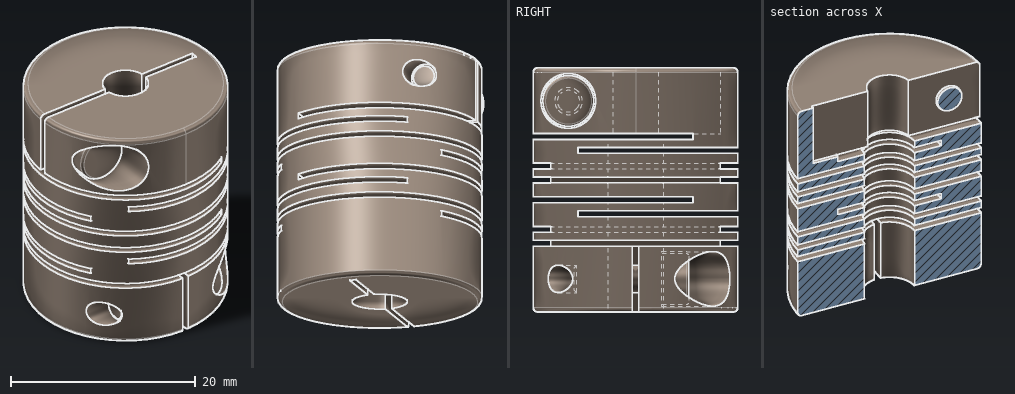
import cadquery as cq

height = 26.5
outer_radius = 11.1
edge_round = 0.5
upper_bore_radius = 2.5
lower_bore_radius = 3.0

clearance = 0.26

cut_width = 0.6
bridge_distance = 6.23
cut_pitch = 1.5
pair_pitch = 3.2
module_pitch = 6.86
cut_span = module_pitch + pair_pitch + cut_pitch
top_cut_z = (height + cut_span) / 2
hub_length = height - top_cut_z - cut_width / 2

slit_width = 0.75
slit_end = 9.2

screw_offset = 7.3
screw_height = 3.6
screw_radius = 1.48
tip_chamfer = 0.3
screw_length = 9.5
head_radius = 2.75
head_round = 0.26
head_length = 3.0
head_top = 5.78
head_seat = head_top - head_length
counterbore_radius = 2.97


def block(x_min, x_max, y_min, y_max, z_min, z_max):
    """Axis-aligned box given by its limits."""
    return cq.Workplane("XY").box(
        x_max - x_min, y_max - y_min, z_max - z_min, centered=False
    ).translate((x_min, y_min, z_min))


def rod(radius, x_start, length):
    """Cylinder on the upper screw axis, running toward +X."""
    return (
        cq.Workplane("YZ", origin=(x_start, -screw_offset, height - screw_height))
        .circle(radius)
        .extrude(length)
    )


def to_lower_hub(shape):
    """Carry an upper hub feature to the lower hub, a quarter turn around the axis."""
    return shape.mirror("XY", (0, 0, height / 2)).rotate((0, 0, 0), (0, 0, 1), 90)


def make_body():
    body = cq.Workplane("XY").circle(outer_radius).extrude(height)
    body = body.faces("<Z or >Z").edges().fillet(edge_round)
    lower_bore = cq.Workplane("XY").circle(lower_bore_radius).extrude(height - hub_length)
    upper_bore = cq.Workplane("XY").circle(upper_bore_radius).extrude(height)
    return body.cut(lower_bore).cut(upper_bore)


def flexure_cut(z, bridge_angle):
    """Cut across the whole section except a bridge in the given direction."""
    reach = outer_radius + clearance
    cut = block(-reach, bridge_distance, -reach, reach, z - cut_width / 2, z + cut_width / 2)
    return cut.rotate((0, 0, 0), (0, 0, 1), bridge_angle)


def clamp_slit():
    """Slit through the upper hub, open toward -Y and ending at the highest flexure cut."""
    half_width = slit_width / 2
    return block(-half_width, half_width, -outer_radius - clearance, slit_end,
                 height - hub_length, height + clearance)


def screw_hole():
    """Through hole along X with a counterbore for the head on the +X side."""
    hole = rod(screw_radius, -outer_radius, 2 * outer_radius)
    return hole.union(rod(counterbore_radius, head_seat, outer_radius))


def clamp_screw():
    """Cap screw with its head toward +X and its tip toward -X."""
    shank = rod(screw_radius, head_seat - screw_length, screw_length)
    shank = shank.faces("<X").edges().chamfer(tip_chamfer)
    head = rod(head_radius, head_seat, head_length)
    head = head.faces(">X").edges().fillet(head_round)
    return shank.union(head)


result = make_body()

for module in range(2):
    pair_z = top_cut_z - module * module_pitch
    for bridge_angle in (90, 0):
        result = result.cut(flexure_cut(pair_z, bridge_angle))
        result = result.cut(flexure_cut(pair_z - cut_pitch, bridge_angle + 180))
        pair_z -= pair_pitch

for opening in (clamp_slit(), screw_hole()):
    result = result.cut(opening).cut(to_lower_hub(opening))

screw = clamp_screw()
result = result.union(screw).union(to_lower_hub(screw))